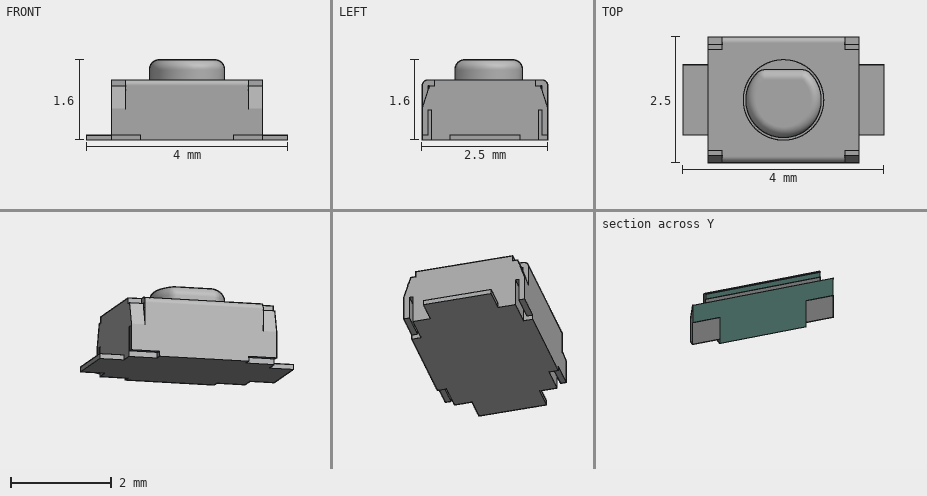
import cadquery as cq

BODY_LENGTH = 3.0
BODY_WIDTH = 2.5
BODY_HEIGHT = 1.2
TOTAL_LENGTH = 4.0
TOTAL_HEIGHT = 1.6

SHEET = 0.12
COVER_TOP_Z = BODY_HEIGHT
COVER_INNER_Z = COVER_TOP_Z - SHEET
HOLE_DIAMETER = 1.6
CORNER_NOTCH_LENGTH = 0.28
CORNER_NOTCH_WIDTH = 0.25
SKIRT_TOP_Z = 0.6
SKIRT_BOTTOM_Z = 0.1

HOUSING_LOWER_WIDTH = 2.12
HOUSING_TOP_WIDTH = 2.21
SLOPE_START_Z = 0.625
PAD_LENGTH = 1.84

TERMINAL_WIDTH = 1.4
TERMINAL_THICKNESS = 0.1

BUTTON_DIAMETER = 1.5
BUTTON_FLAT_Y = 0.6
BUTTON_ROUND = 0.2


def block(length, width, bottom_z, top_z):
    """Box centred on the Z axis, between two heights."""
    return cq.Workplane("XY").workplane(offset=bottom_z).rect(length, width).extrude(top_z - bottom_z)


def make_housing():
    """Moulded base: narrow foot, shoulder at skirt height and sloping upper sides."""
    foot = HOUSING_LOWER_WIDTH / 2
    shoulder = BODY_WIDTH / 2
    top = HOUSING_TOP_WIDTH / 2
    right_side = [
        (foot, 0),
        (foot, SKIRT_TOP_Z),
        (shoulder, SKIRT_TOP_Z),
        (shoulder, SLOPE_START_Z),
        (top, COVER_INNER_Z),
    ]
    left_side = [(-y, z) for y, z in reversed(right_side)]
    upper = cq.Workplane("YZ").polyline(right_side + left_side).close().extrude(BODY_LENGTH / 2, both=True)
    pads = block(PAD_LENGTH, BODY_WIDTH, 0, SKIRT_TOP_Z)
    return upper.union(pads)


def make_cover():
    """Folded cover with rounded bends, notched corners and a button hole."""
    cover = block(BODY_LENGTH, BODY_WIDTH, SKIRT_BOTTOM_Z, COVER_TOP_Z)
    cover = cover.edges("|X and >Z").fillet(SHEET)
    cover = cover.cut(block(BODY_LENGTH, BODY_WIDTH - 2 * SHEET, SKIRT_BOTTOM_Z, COVER_INNER_Z))
    notch_centres = [
        (sx * (BODY_LENGTH - CORNER_NOTCH_LENGTH) / 2, sy * (BODY_WIDTH - CORNER_NOTCH_WIDTH) / 2)
        for sx in (-1, 1)
        for sy in (-1, 1)
    ]
    notches = (
        cq.Workplane("XY")
        .workplane(offset=SKIRT_TOP_Z)
        .pushPoints(notch_centres)
        .rect(CORNER_NOTCH_LENGTH, CORNER_NOTCH_WIDTH)
        .extrude(COVER_TOP_Z - SKIRT_TOP_Z)
    )
    hole = cq.Workplane("XY").workplane(offset=COVER_INNER_Z).circle(HOLE_DIAMETER / 2).extrude(SHEET)
    return cover.cut(notches).cut(hole)


def make_button():
    """D-shaped button with equally rounded flat corners and top rim."""
    height = TOTAL_HEIGHT - COVER_INNER_Z
    button = cq.Workplane("XY").workplane(offset=COVER_INNER_Z).circle(BUTTON_DIAMETER / 2).extrude(height)
    flat_cut = block(BUTTON_DIAMETER, BUTTON_DIAMETER, COVER_INNER_Z, TOTAL_HEIGHT)
    button = button.cut(flat_cut.translate((0, BUTTON_FLAT_Y + BUTTON_DIAMETER / 2, 0)))
    flat_corners_and_rim = button.edges(">Z").add(button.faces(">Y").edges("|Z"))
    return flat_corners_and_rim.fillet(BUTTON_ROUND)


terminals = block(TOTAL_LENGTH, TERMINAL_WIDTH, 0, TERMINAL_THICKNESS)

result = make_housing().union(make_cover()).union(terminals).union(make_button())